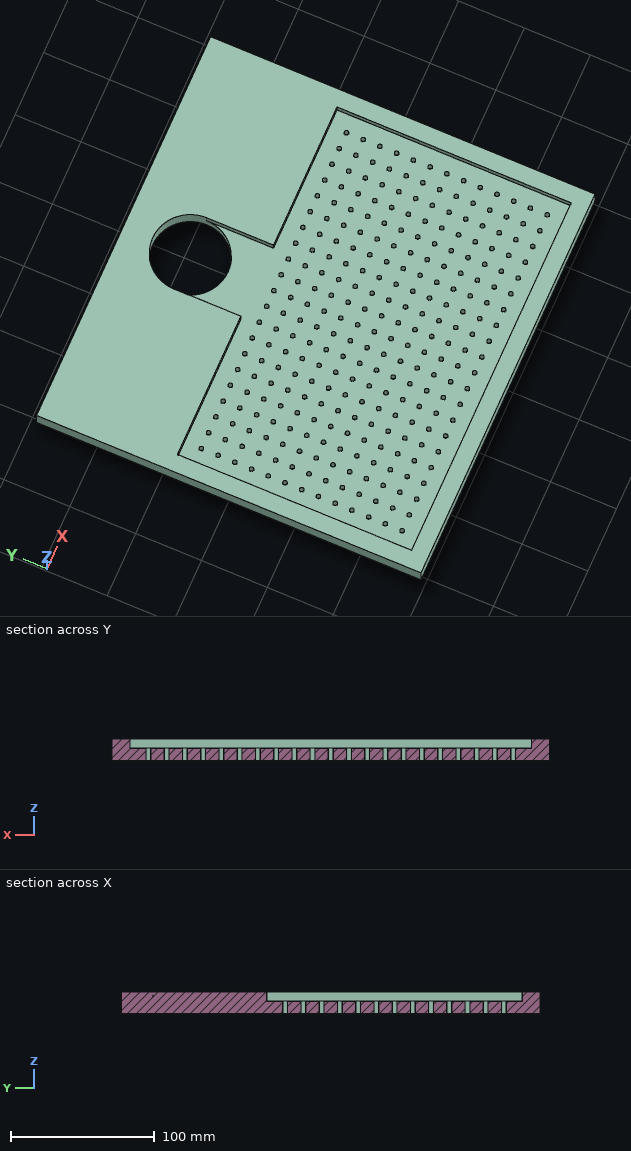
import cadquery as cq

plate_width = 304.8
width_steps = 24
depth_steps = 23
step = plate_width / width_steps
plate_depth = depth_steps * step
plate_thickness = 15.2

rim = step
tray_width = plate_width - 2 * rim
tray_depth_steps = 14
tray_depth = tray_depth_steps * step
tray_recess = step / 2
tray_center_y = rim + tray_depth / 2
tray_back_y = rim + tray_depth
floor_height = plate_thickness - tray_recess

opening_diameter = 4.5 * step
opening_x = plate_width / 2
opening_row = 19
opening_y = opening_row * step

perforation_diameter = step / 4
perforation_columns = width_steps - 3
perforation_rows = tray_depth_steps - 1


def make_plate():
    """Flat plate with its front left bottom corner at the origin."""
    return cq.Workplane("XY").box(plate_width, plate_depth, plate_thickness, centered=False)


def make_tray():
    """Volume removed for the tray and the channel to the opening."""
    tray = (
        cq.Workplane("XY")
        .workplane(offset=floor_height)
        .center(plate_width / 2, tray_center_y)
        .rect(tray_width, tray_depth)
        .extrude(tray_recess)
    )
    channel_length = opening_y - tray_back_y
    channel_center_y = tray_back_y + channel_length / 2
    channel = (
        cq.Workplane("XY")
        .workplane(offset=floor_height)
        .center(opening_x, channel_center_y)
        .rect(opening_diameter, channel_length)
        .extrude(tray_recess)
    )
    return tray.union(channel)


def make_opening():
    """Round cutter through the full plate thickness."""
    return (
        cq.Workplane("XY")
        .center(opening_x, opening_y)
        .circle(opening_diameter / 2)
        .extrude(plate_thickness)
    )


def make_perforations():
    """Grid of round cutters through the tray floor."""
    return (
        cq.Workplane("XY")
        .center(plate_width / 2, tray_center_y)
        .rarray(step, step, perforation_columns, perforation_rows)
        .circle(perforation_diameter / 2)
        .extrude(floor_height)
    )


result = make_plate().cut(make_tray()).cut(make_opening()).cut(make_perforations())